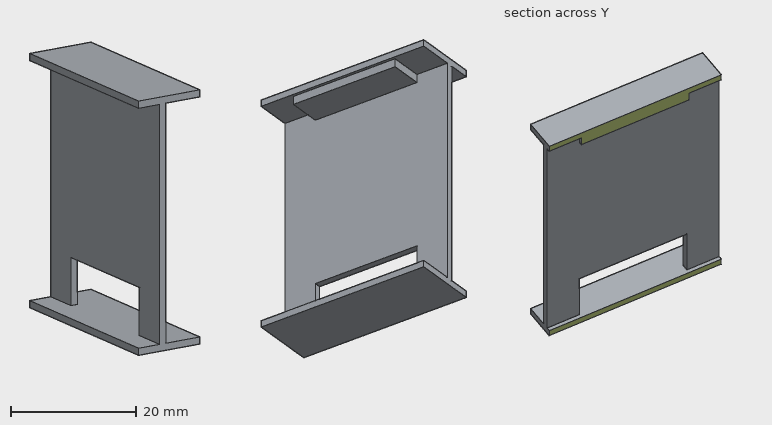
import cadquery as cq

length = 32.0
web_height = 40.0
plate_thickness = 1.2
front_overhang = 4.0
back_overhang = 6.5

window_width = 20.0
window_height = 8.0

strip_width = window_width
strip_depth = 6.0
strip_height = 1.5

web_front = -plate_thickness / 2
web_back = plate_thickness / 2
flange_front = web_front - front_overhang
flange_depth = front_overhang + plate_thickness + back_overhang
web_bottom = -web_height / 2
web_top = web_height / 2


def block(width, depth, height, front, bottom):
    """Box centred on X, with its -Y face at front and its -Z face at bottom."""
    solid = cq.Workplane("XY").box(width, depth, height, centered=(True, False, False))
    return solid.translate((0, front, bottom))


def flange(bottom):
    return block(length, flange_depth, plate_thickness, flange_front, bottom)


def web():
    plate = block(length, plate_thickness, web_height, web_front, web_bottom)
    window = block(window_width, plate_thickness, window_height, web_front, web_bottom)
    return plate.cut(window)


def strip():
    return block(strip_width, strip_depth, strip_height, web_back, web_top - strip_height)


bottom_flange = flange(web_bottom - plate_thickness)
top_flange = flange(web_top)
result = web().union(bottom_flange).union(top_flange).union(strip())